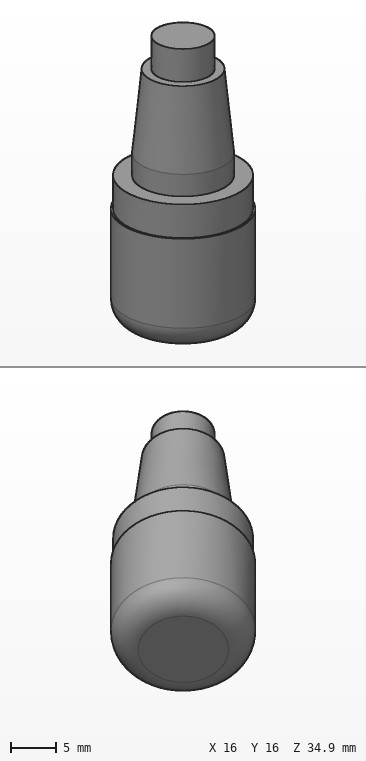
import cadquery as cq

housing_diameter = 16.0
housing_height = 13.85
housing_edge_radius = 3.0

collar_diameter = 15.5
neck_diameter = 11.3
taper_top_diameter = 9.18
tip_diameter = 7.0
collar_top = 17.95
neck_top = 20.65
taper_top = 30.9
overall_height = 34.9


def make_housing():
    """Solid cylinder standing on Z = 0, with its bottom edge rounded."""
    cylinder = cq.Workplane("XY").circle(housing_diameter / 2).extrude(housing_height)
    return cylinder.faces("<Z").edges().fillet(housing_edge_radius)


def make_plug():
    """Stepped and tapered plug, revolved about Z from its half profile."""
    return (
        cq.Workplane("XZ")
        .moveTo(0, housing_height)
        .lineTo(collar_diameter / 2, housing_height)
        .lineTo(collar_diameter / 2, collar_top)
        .lineTo(neck_diameter / 2, collar_top)
        .lineTo(neck_diameter / 2, neck_top)
        .lineTo(taper_top_diameter / 2, taper_top)
        .lineTo(tip_diameter / 2, taper_top)
        .lineTo(tip_diameter / 2, overall_height)
        .lineTo(0, overall_height)
        .close()
        .revolve(360, (0, 0, 0), (0, 1, 0))
    )


housing = make_housing()
plug = make_plug()

result = cq.Compound.makeCompound([housing.val(), plug.val()])